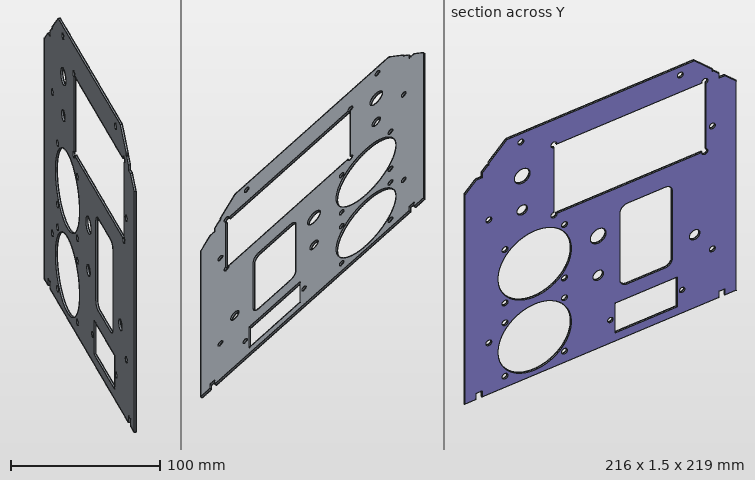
import cadquery as cq


width = 216.0
height = 219.0
thickness = 1.5

panel_half_width = 94.25
panel_height = 203.0
panel_corner_chamfer = 4.5

side_flange_inner_x = 98.9
side_flange_width = width / 2 - side_flange_inner_x
side_flange_height = 194.5
side_bend_bottom = 5.3

top_flange_half_width = 88.9
top_bend_width = 1.7
top_flange_taper = height - panel_height - top_bend_width

display_center = (23.3, 165.6)
display_size = (120.6, 61.0)
relief_center = (22.9, 165.6)
relief_pitch = (120.0, 62.2)
relief_diameter = 4.5

gauge_x = -52.35
gauge_heights = (33.7, 98.5)
gauge_diameter = 58.0
gauge_screw_pitch = 47.3

rounded_window_center = (36.3, 82.0)
rounded_window_size = (41.2, 71.0)
rounded_window_radius = 5.5
connector_center = (36.3, 20.55)
connector_size = (49.2, 26.0)
connector_screw_pitch = 57.0
connector_screw_diameter = 4.0

large_control_diameter = 12.2
large_control_centers = [(-62.3, 180.8), (-1.9, 99.45)]
small_control_diameter = 8.0
small_control_centers = [(-62.3, 150.8), (-1.9, 64.7), (74.8, 64.7)]

screw_diameter = 4.4
panel_screw_x = 88.85
panel_screw_heights = (45.6, 154.4)
flange_screw_x = 63.35
flange_screw_height = 211.4


def sheet(outline_points):
    """Extrude a closed outline of (x, height) points to the sheet thickness."""
    profile = cq.Workplane("XZ").polyline(outline_points).close()
    return profile.extrude(thickness / 2, both=True)


def block(center, size):
    """Rectangular cutter passing through the sheet."""
    return cq.Workplane("XZ").center(*center).rect(*size).extrude(thickness, both=True)


def holes(centers, diameter):
    """Round cutters passing through the sheet."""
    return cq.Workplane("XZ").pushPoints(centers).circle(diameter / 2).extrude(thickness, both=True)


def rectangle_corners(center, pitch):
    """Corner points of a rectangle given its centre and side lengths."""
    return [
        (center[0] + sx * pitch[0] / 2, center[1] + sz * pitch[1] / 2)
        for sx in (-1, 1)
        for sz in (-1, 1)
    ]


def mirrored(x, level):
    """A point and its mirror image across the centre line."""
    return [(-x, level), (x, level)]


def main_panel():
    shoulder_x = panel_half_width - panel_corner_chamfer
    shoulder_height = panel_height - panel_corner_chamfer
    return sheet([
        (-panel_half_width, 0),
        (panel_half_width, 0),
        (panel_half_width, shoulder_height),
        (shoulder_x, panel_height),
        (-shoulder_x, panel_height),
        (-panel_half_width, shoulder_height),
    ])


def side_flange(side):
    """Flange and bend strip on one side: -1 for left, 1 for right."""
    outer_x = width / 2
    return sheet([
        (side * panel_half_width, side_bend_bottom),
        (side * side_flange_inner_x, side_bend_bottom),
        (side * side_flange_inner_x, 0),
        (side * outer_x, 0),
        (side * outer_x, side_flange_height - side_flange_width),
        (side * side_flange_inner_x, side_flange_height),
        (side * panel_half_width, side_flange_height),
    ])


def top_flange():
    tip_half_width = top_flange_half_width - top_flange_taper
    bend_top = panel_height + top_bend_width
    return sheet([
        (-top_flange_half_width, panel_height),
        (top_flange_half_width, panel_height),
        (top_flange_half_width, bend_top),
        (tip_half_width, height),
        (-tip_half_width, height),
        (-top_flange_half_width, bend_top),
    ])


def cut_display(plate):
    reliefs = rectangle_corners(relief_center, relief_pitch)
    return plate.cut(block(display_center, display_size)).cut(holes(reliefs, relief_diameter))


def cut_gauge(plate, level):
    center = (gauge_x, level)
    screws = rectangle_corners(center, (gauge_screw_pitch, gauge_screw_pitch))
    return plate.cut(holes([center], gauge_diameter)).cut(holes(screws, screw_diameter))


def cut_rounded_window(plate):
    window = block(rounded_window_center, rounded_window_size)
    return plate.cut(window.edges("|Y").fillet(rounded_window_radius))


def cut_connector(plate):
    center_x, level = connector_center
    screws = [(center_x + side * connector_screw_pitch / 2, level) for side in (-1, 1)]
    opening = block(connector_center, connector_size)
    return plate.cut(opening).cut(holes(screws, connector_screw_diameter))


def cut_controls(plate):
    plate = plate.cut(holes(large_control_centers, large_control_diameter))
    return plate.cut(holes(small_control_centers, small_control_diameter))


def cut_mounting_screws(plate):
    centers = mirrored(flange_screw_x, flange_screw_height)
    for level in panel_screw_heights:
        centers += mirrored(panel_screw_x, level)
    return plate.cut(holes(centers, screw_diameter))


plate = main_panel().union(side_flange(-1)).union(side_flange(1)).union(top_flange())
plate = cut_display(plate)
for gauge_height in gauge_heights:
    plate = cut_gauge(plate, gauge_height)
plate = cut_rounded_window(plate)
plate = cut_connector(plate)
plate = cut_controls(plate)
plate = cut_mounting_screws(plate)

result = plate.translate((0, 0, -height / 2))